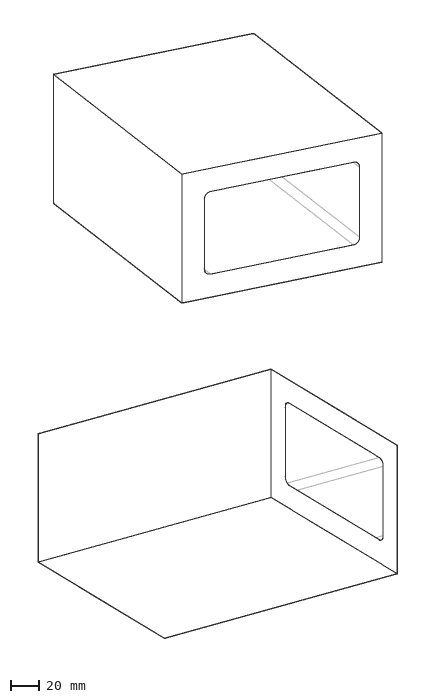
import cadquery as cq

length = 200.0
width = 160.0
height = 100.0
wall = 18.0
bore_corner_radius = 5.0

bore_width = width - 2 * wall
bore_height = height - 2 * wall


def make_bore():
    """Rounded rectangular passage through the full length of the tube."""
    bore = cq.Workplane("XY").box(length, bore_width, bore_height)
    return bore.edges("|X").fillet(bore_corner_radius)


body = cq.Workplane("XY").box(length, width, height)
result = body.cut(make_bore())